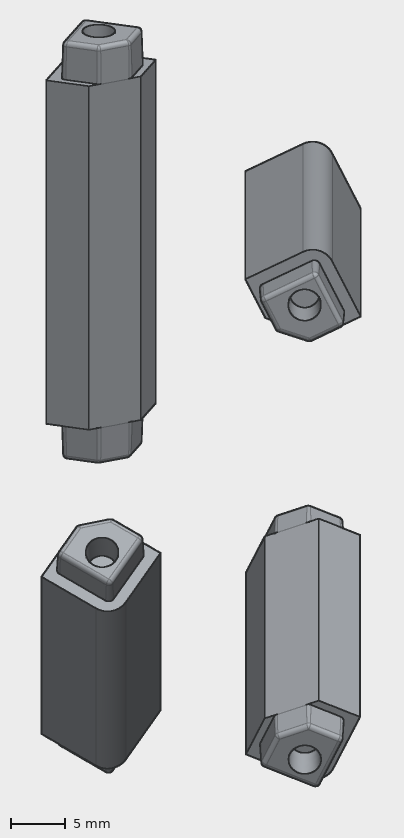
import cadquery as cq
import math

length = 41.5
side = 7.9
corner_cut = 3.75
corner_radius = 2.0

tenon_height = 3.7
wide_shoulder = 1.1
narrow_shoulder = 0.7
tenon_draw_in = 0.12
tenon_edge_radius = 0.55
tip_radius = 0.45

hole_diameter = 3.0
hole_offset = 3.6
hole_depth = tenon_height

half_side = side / 2
half_body = length / 2 - tenon_height
draft_angle = math.degrees(math.atan(tenon_draw_in / tenon_height))


def cut_square(left, right, bottom, top, z):
    """Rectangle at height z whose +X/-Y corner is cut by the 45 degree plane of the body."""
    cut_line = side - corner_cut
    points = [
        (left, bottom),
        (bottom + cut_line, bottom),
        (right, right - cut_line),
        (right, top),
        (left, top),
    ]
    return cq.Workplane("XY").workplane(offset=z).polyline(points).close()


def make_body():
    outline = cut_square(-half_side, half_side, -half_side, half_side, -half_body)
    body = outline.extrude(2 * half_body)
    return body.edges("|Z and <X and >Y").fillet(corner_radius)


def make_tenon():
    left = -half_side + wide_shoulder
    right = half_side - narrow_shoulder
    outline = cut_square(left, right, -right, -left, half_body)
    rounded = outline.extrude(tenon_height).edges("|Z").fillet(tenon_edge_radius)
    base = rounded.faces("<Z").wires().toPending()
    tenon = base.extrude(tenon_height, combine=False, taper=draft_angle)
    return tenon.faces(">Z").edges().fillet(tip_radius)


def make_hole():
    hole_x = -half_side + hole_offset
    mouth = cq.Workplane("XY").workplane(offset=length / 2).center(hole_x, -hole_x)
    return mouth.circle(hole_diameter / 2).extrude(-hole_depth, taper=draft_angle)


tenon = make_tenon()
hole = make_hole()
result = make_body()
result = result.union(tenon).union(tenon.mirror("XY"))
result = result.cut(hole).cut(hole.mirror("XY"))